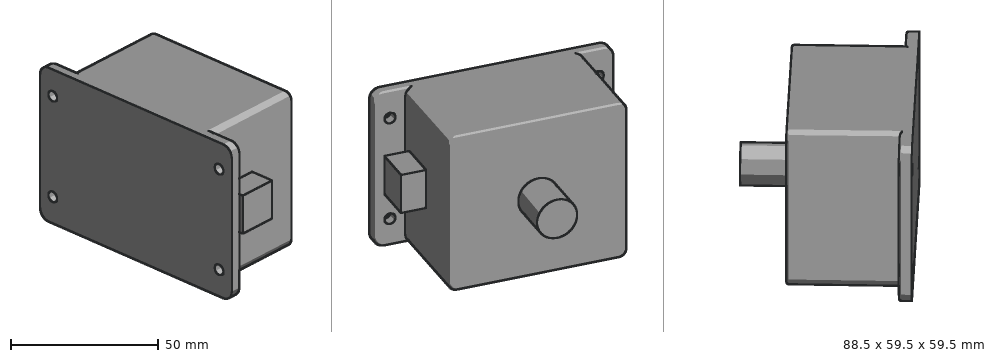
import cadquery as cq

flange_length = 88.5
height = 59.5
flange_thickness = 4.4
flange_corner_radius = 4.0
edge_round = 1.0

hole_diameter = 4.0
hole_spacing_x = 76.7
hole_spacing_z = 38.85

housing_length = 65.6
housing_end = 43.0
housing_corner_radius = 3.0

boss_diameter = 14.8
boss_end = 59.5

connector_size = 14.7
connector_projection = 9.2
connector_center_y = 15.3


def rounded_block(length, depth, corner_radius):
    """Block growing from Y = 0 towards +Y, with its corners and far rim rounded."""
    block = cq.Workplane("XZ").rect(length, height).extrude(-depth)
    return block.edges("|Y").fillet(corner_radius).faces(">Y").edges().fillet(edge_round)


def make_boss():
    return cq.Workplane("XZ").circle(boss_diameter / 2).extrude(-boss_end)


def make_connector():
    reach = housing_length / 2 + connector_projection
    return (
        cq.Workplane("YZ")
        .center(connector_center_y, 0)
        .rect(connector_size, connector_size)
        .extrude(reach)
    )


def make_mounting_holes():
    return (
        cq.Workplane("XZ")
        .rect(hole_spacing_x, hole_spacing_z, forConstruction=True)
        .vertices()
        .circle(hole_diameter / 2)
        .extrude(-flange_thickness)
    )


flange = rounded_block(flange_length, flange_thickness, flange_corner_radius)
housing = rounded_block(housing_length, housing_end, housing_corner_radius)
result = flange.union(housing).union(make_boss()).union(make_connector()).cut(make_mounting_holes())